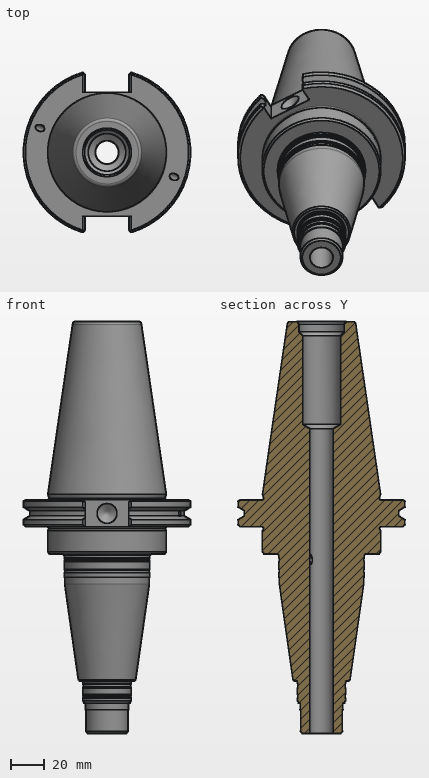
import cadquery as cq
import math

total_length = 242.5
taper_length = 101.8
gauge_z = total_length - taper_length
gauge_r = 69.8 / 2
taper_slope = 7 / 24 / 2
small_end_r = gauge_r - taper_length * taper_slope
small_end_fillet = 2.0

flange_r = 98.5 / 2
flange_top = gauge_z - 3.2
flange_bottom = gauge_z - 19.2
flange_top_chamfer_r = 1.2
flange_top_chamfer_z = 0.7
flange_bottom_chamfer = 1.5
groove_z = gauge_z - 11.2
groove_r = 45.5
groove_mouth = 7.3
groove_wall_angle = 30
neck_r = 34.2
neck_fillet = 1.0

slot_width = 25.7
slot_floor_front = 37.5
slot_floor_back = 35.5
slot_chamfer = 1.5
dimple_d = 11.6
dimple_half_angle = 60

coolant_angle = -20
coolant_pitch_r = 42.0
coolant_d = 4.0
coolant_tilt = 45
groove_hole_d = 3.2
groove_hole_depth = 4.0

collar_r = gauge_r
collar_bottom = 105.5
collar_chamfer_r = 1.0
collar_chamfer_z = 1.5
collar_neck_height = 2.2

nose_r = 50.5 / 2
nose_groove_r = 50.0 / 2
nose_fillet = 0.7
ring_top = 101.1
ring_bottom = 96.8
nose_groove_width = 2.2
nose_groove_bevel = 0.7
nose_shoulder_z = 92.0
cone_top = 88.0
cone_bottom = 30.8
cone_bottom_r = 17.0
cone_chamfer = 1.0

pilot_r = 28.5 / 2
pilot_bottom = 18.0
pilot_groove_depth = 0.2
pilot_groove_bevel = 0.7
pilot_grooves = [(29.5, 26.7), (23.0, 20.9)]
pilot_end_chamfer_r = 0.7
pilot_end_chamfer_z = 1.5
spigot_r = 25.5 / 2
spigot_end_r = 25.0 / 2
spigot_step_z = 14.0
spigot_chamfer = 1.2

mouth_r = 28.5 / 2
mouth_angle = 60
counterbore_r = 26.5 / 2
counterbore_depth = 6.3
thread_bore_r = 22.0 / 2
thread_bore_depth = 60.6
through_r = 13.5 / 2
drill_point_half_angle = 59


def body():
    """Solid of revolution carrying every outer diameter."""
    groove_wall = (flange_r - groove_r) * math.tan(math.radians(groove_wall_angle))
    groove_floor = groove_mouth / 2 - groove_wall
    arc_mid = neck_fillet * (1 - math.sqrt(0.5))
    collar_top = flange_bottom - collar_neck_height

    outline = (
        cq.Workplane("XZ")
        .moveTo(0, total_length)
        .lineTo(small_end_r, total_length)
        .lineTo(gauge_r, gauge_z)
        .lineTo(neck_r, flange_top + neck_fillet)
        .threePointArc((neck_r + arc_mid, flange_top + arc_mid), (neck_r + neck_fillet, flange_top))
        .lineTo(flange_r - flange_top_chamfer_r, flange_top)
        .lineTo(flange_r, flange_top - flange_top_chamfer_z)
        .lineTo(flange_r, groove_z + groove_mouth / 2)
        .lineTo(groove_r, groove_z + groove_floor)
        .lineTo(groove_r, groove_z - groove_floor)
        .lineTo(flange_r, groove_z - groove_mouth / 2)
        .lineTo(flange_r, flange_bottom + flange_bottom_chamfer)
        .lineTo(flange_r - flange_bottom_chamfer, flange_bottom)
        .lineTo(neck_r + neck_fillet, flange_bottom)
        .threePointArc((neck_r + arc_mid, flange_bottom - arc_mid), (neck_r, flange_bottom - neck_fillet))
        .lineTo(collar_r, collar_top)
        .lineTo(collar_r, collar_bottom + collar_chamfer_z)
        .lineTo(collar_r - collar_chamfer_r, collar_bottom)
        .lineTo(nose_r + nose_fillet, collar_bottom)
        .lineTo(nose_r, collar_bottom - nose_fillet)
        .lineTo(nose_r, ring_top + nose_groove_width)
        .lineTo(nose_groove_r, ring_top + nose_groove_width - nose_groove_bevel)
        .lineTo(nose_groove_r, ring_top + nose_groove_bevel)
        .lineTo(nose_r, ring_top)
        .lineTo(nose_r, ring_bottom)
        .lineTo(nose_groove_r, ring_bottom - nose_groove_bevel)
        .lineTo(nose_groove_r, ring_bottom - nose_groove_width)
        .lineTo(nose_r, ring_bottom - nose_groove_width)
        .lineTo(nose_r, nose_shoulder_z)
        .lineTo(nose_groove_r, nose_shoulder_z)
        .lineTo(nose_groove_r, cone_top)
        .lineTo(cone_bottom_r, cone_bottom + cone_chamfer)
        .lineTo(cone_bottom_r - cone_chamfer, cone_bottom)
        .lineTo(pilot_r, cone_bottom)
    )
    pilot_floor_r = pilot_r - pilot_groove_depth
    for top, bottom in pilot_grooves:
        outline = (
            outline.lineTo(pilot_r, top)
            .lineTo(pilot_floor_r, top - pilot_groove_bevel)
            .lineTo(pilot_floor_r, bottom + pilot_groove_bevel)
            .lineTo(pilot_r, bottom)
        )
    outline = (
        outline.lineTo(pilot_r, pilot_bottom + pilot_end_chamfer_z)
        .lineTo(pilot_r - pilot_end_chamfer_r, pilot_bottom)
        .lineTo(spigot_r, pilot_bottom)
        .lineTo(spigot_r, spigot_step_z)
        .lineTo(spigot_end_r, spigot_step_z)
        .lineTo(spigot_end_r, spigot_chamfer)
        .lineTo(spigot_end_r - spigot_chamfer, 0)
        .lineTo(0, 0)
        .close()
    )
    solid = outline.revolve(360, (0, 0, 0), (0, 1, 0))
    return solid.faces(">Z").edges().fillet(small_end_fillet)


def bore():
    """Stepped bore: flared mouth, counterbore, thread bore, drill point and through hole."""
    mouth_depth = (mouth_r - counterbore_r) * math.tan(math.radians(mouth_angle))
    step_depth = counterbore_depth + counterbore_r - thread_bore_r
    point_depth = (thread_bore_r - through_r) / math.tan(math.radians(drill_point_half_angle))
    return (
        cq.Workplane("XZ")
        .moveTo(0, total_length)
        .lineTo(mouth_r, total_length)
        .lineTo(counterbore_r, total_length - mouth_depth)
        .lineTo(counterbore_r, total_length - counterbore_depth)
        .lineTo(thread_bore_r, total_length - step_depth)
        .lineTo(thread_bore_r, total_length - thread_bore_depth)
        .lineTo(through_r, total_length - thread_bore_depth - point_depth)
        .lineTo(through_r, 0)
        .lineTo(0, 0)
        .close()
        .revolve(360, (0, 0, 0), (0, 1, 0))
    )


def drive_slot(floor_distance):
    """Cutter for a slot on the +Y side, with bevels on the top and outer edges of its walls."""
    half = slot_width / 2
    wide = half + slot_chamfer
    top_profile = [
        (-wide, flange_top),
        (-half, flange_top - slot_chamfer),
        (-half, flange_bottom),
        (half, flange_bottom),
        (half, flange_top - slot_chamfer),
        (wide, flange_top),
    ]
    channel = (
        cq.Workplane("XZ", origin=(0, floor_distance, 0))
        .polyline(top_profile)
        .close()
        .extrude(-(flange_r - floor_distance))
    )
    corner_y = math.sqrt(flange_r**2 - wide**2)
    flare_profile = [
        (-half, corner_y - slot_chamfer),
        (-wide, corner_y),
        (-wide, flange_r),
        (wide, flange_r),
        (wide, corner_y),
        (half, corner_y - slot_chamfer),
    ]
    flare = (
        cq.Workplane("XY", origin=(0, 0, flange_bottom))
        .polyline(flare_profile)
        .close()
        .extrude(flange_top - flange_bottom)
    )
    return channel.union(flare)


def dimple():
    """Conical recess in the floor of the -Y slot."""
    depth = dimple_d / 2 / math.tan(math.radians(dimple_half_angle))
    cone = cq.Solid.makeCone(
        dimple_d / 2, 0, depth, cq.Vector(0, -slot_floor_front, groove_z), cq.Vector(0, 1, 0)
    )
    return cq.Workplane(cone)


def coolant_hole(angle):
    """Slanted hole from the flange top down to the through bore."""
    tilt = math.radians(coolant_tilt)
    inward = cq.Vector(-math.sin(tilt), 0, -math.cos(tilt))
    entry = cq.Vector(coolant_pitch_r, 0, flange_top)
    start = entry - inward * coolant_d
    length = coolant_pitch_r / math.sin(tilt) + coolant_d
    hole = cq.Solid.makeCylinder(coolant_d / 2, length, start, inward)
    return cq.Workplane(hole).rotate((0, 0, 0), (0, 0, 1), angle)


def groove_hole(angle):
    """Short radial hole with a drill point, in the floor of the V groove."""
    radius = groove_hole_d / 2
    end_r = groove_r - groove_hole_depth
    point_depth = radius / math.tan(math.radians(drill_point_half_angle))
    point = cq.Solid.makeCone(
        radius, 0, point_depth, cq.Vector(end_r, 0, groove_z), cq.Vector(-1, 0, 0)
    )
    hole = (
        cq.Workplane("YZ", origin=(end_r, 0, groove_z))
        .circle(radius)
        .extrude(flange_r - end_r)
        .union(cq.Workplane(point))
    )
    return hole.rotate((0, 0, 0), (0, 0, 1), angle)


result = body().cut(bore())
result = result.cut(drive_slot(slot_floor_back))
result = result.cut(drive_slot(slot_floor_front).rotate((0, 0, 0), (0, 0, 1), 180))
result = result.cut(dimple())
for half_turn in (0, 180):
    hole_angle = coolant_angle + half_turn
    result = result.cut(coolant_hole(hole_angle))
    result = result.cut(groove_hole(hole_angle))